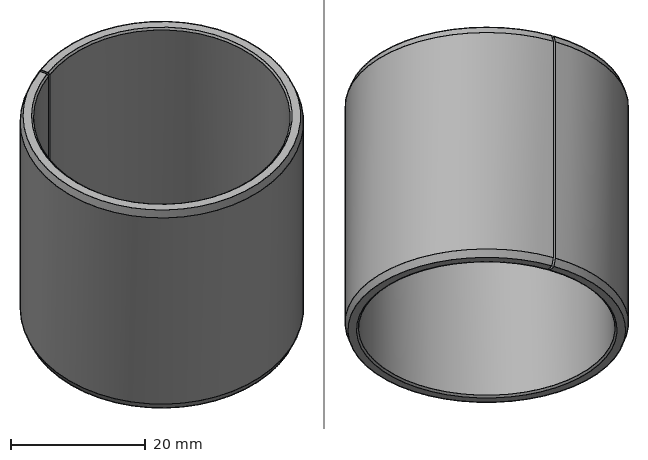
import cadquery as cq
import math

outer_diameter = 42.0
wall_thickness = 2.0
length = 40.0

rim_chamfer_length = 1.2
rim_chamfer_angle = 20.0
rim_chamfer_depth = rim_chamfer_length * math.tan(math.radians(rim_chamfer_angle))

bore_chamfer = 0.3

split_angle = 1.0
split_face_direction = 180.0

outer_radius = outer_diameter / 2
inner_radius = outer_radius - wall_thickness
half_length = length / 2


def make_wall_section():
    """Chamfered rectangle of the wall, in the XZ plane on the +X side."""
    rim_radius = outer_radius - rim_chamfer_depth
    bore_edge_radius = inner_radius + bore_chamfer
    points = [
        (bore_edge_radius, -half_length),
        (rim_radius, -half_length),
        (outer_radius, -half_length + rim_chamfer_length),
        (outer_radius, half_length - rim_chamfer_length),
        (rim_radius, half_length),
        (bore_edge_radius, half_length),
        (inner_radius, half_length - bore_chamfer),
        (inner_radius, -half_length + bore_chamfer),
    ]
    return cq.Workplane("XZ").polyline(points).close()


def make_split_bush():
    """Revolve the wall about Z, short of a full turn by the gap, and turn the gap to -X."""
    sleeve = make_wall_section().revolve(360 - split_angle, (0, 0, 0), (0, 1, 0))
    return sleeve.rotate((0, 0, 0), (0, 0, 1), split_face_direction)


result = make_split_bush()